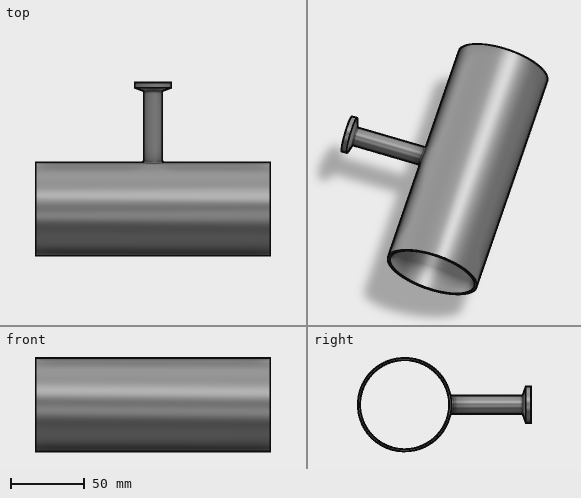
import cadquery as cq
import math

tube_length = 158.8
tube_diameter = 63.5
tube_bore = 60.2

branch_diameter = 12.7
branch_bore = 9.4
branch_end = 85.7
weld_radius = 1.3

flange_diameter = 25.0
rim_thickness = 3.7
flange_back_angle = 20.0
flange_root_radius = 0.6

selection_margin = 1.6

tube_radius = tube_diameter / 2
branch_radius = branch_diameter / 2
flange_radius = flange_diameter / 2
rim_back = branch_end - rim_thickness
taper_length = (flange_radius - branch_radius) * math.tan(math.radians(flange_back_angle))
flange_root = rim_back - taper_length


def cylinder_along_x(diameter, length):
    return cq.Workplane("YZ").circle(diameter / 2).extrude(length / 2, both=True)


def cylinder_along_y(diameter, length):
    """Cylinder starting on the main tube axis and running toward +Y."""
    return cq.Workplane("XZ").circle(diameter / 2).extrude(-length)


def edges_near(y_position):
    """Selector for edges around the branch, centred close to a position along Y."""
    y_low = y_position - selection_margin
    y_high = y_position + selection_margin
    reach = flange_radius
    return cq.selectors.BoxSelector((-reach, y_low, -reach), (reach, y_high, reach))


def branch_with_ferrule():
    """Solid branch and ferrule, revolved about Y from half a profile."""
    return (
        cq.Workplane("XY")
        .lineTo(branch_radius, 0)
        .lineTo(branch_radius, flange_root)
        .lineTo(flange_radius, rim_back)
        .lineTo(flange_radius, branch_end)
        .lineTo(0, branch_end)
        .close()
        .revolve(360, (0, 0), (0, 1))
    )


body = cylinder_along_x(tube_diameter, tube_length).union(branch_with_ferrule())
body = body.edges(edges_near(tube_radius)).fillet(weld_radius)
body = body.edges(edges_near(flange_root)).fillet(flange_root_radius)

result = body.cut(cylinder_along_x(tube_bore, tube_length)).cut(cylinder_along_y(branch_bore, branch_end))